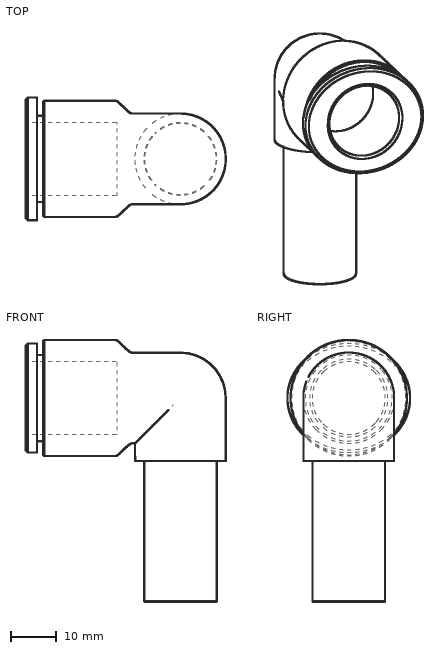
import cadquery as cq

overall_length = 44.0
overall_height = 57.6

elbow_radius = 20.0 / 2
elbow_drop = 13.9
stem_radius = 16.0 / 2
stem_chamfer = 0.2

body_radius = 25.6 / 2
body_start = 3.85
body_end = 20.05
taper_length = 3.0
body_chamfer = 0.3
shoulder_blend = 1.0

ring_width = 27.0
ring_height = 24.0
ring_thickness = 2.55
ring_chamfer = 0.6
neck_radius = 9.5
bore_radius = stem_radius
bore_chamfer = 0.6

mouth_x = elbow_radius - overall_length
body_start_x = mouth_x + body_start
body_end_x = mouth_x + body_end
taper_end_x = body_end_x + taper_length
stem_bottom_z = body_radius - overall_height


def rod_along_x(radius, start_x, end_x):
    return cq.Workplane("YZ", origin=(start_x, 0, 0)).circle(radius).extrude(end_x - start_x)


def make_elbow():
    """Vertical branch topped by a sphere that rounds the corner of the elbow."""
    vertical = cq.Workplane("XY").circle(elbow_radius).extrude(-elbow_drop)
    return vertical.union(cq.Workplane("XY").sphere(elbow_radius))


def make_stem():
    stem = cq.Workplane("XY").circle(stem_radius).extrude(stem_bottom_z)
    return stem.faces("<Z").chamfer(stem_chamfer)


def make_body():
    """Socket body tapering into the horizontal elbow branch, blended at both ends of the taper."""
    profile = (
        cq.Workplane("XY")
        .moveTo(body_start_x, 0)
        .lineTo(body_start_x, body_radius)
        .lineTo(body_end_x, body_radius)
        .lineTo(taper_end_x, elbow_radius)
        .lineTo(0, elbow_radius)
        .lineTo(0, 0)
        .close()
    )
    body = profile.revolve(360, (0, 0, 0), (1, 0, 0))
    at_taper = cq.selectors.BoxSelector(
        (body_end_x - shoulder_blend, -overall_height, -overall_height),
        (taper_end_x + shoulder_blend / 2, overall_height, overall_height),
    )
    body = body.edges("%CIRCLE").edges(at_taper).fillet(shoulder_blend)
    return body.faces("<X").chamfer(body_chamfer)


def make_release_ring():
    ring = (
        cq.Workplane("YZ", origin=(mouth_x, 0, 0))
        .ellipse(ring_width / 2, ring_height / 2)
        .extrude(ring_thickness)
        .faces("<X")
        .chamfer(ring_chamfer)
    )
    return ring.union(rod_along_x(neck_radius, mouth_x + ring_thickness / 2, body_start_x))


def make_bore():
    """Blind tube bore ending at the body shoulder, with a chamfered mouth."""
    bore = rod_along_x(bore_radius, mouth_x, body_end_x)
    lead_in = cq.Workplane(
        cq.Solid.makeCone(
            bore_radius + bore_chamfer, bore_radius, bore_chamfer,
            cq.Vector(mouth_x, 0, 0), cq.Vector(1, 0, 0),
        )
    )
    return bore.union(lead_in)


result = (
    make_elbow()
    .union(make_stem())
    .union(make_body())
    .union(make_release_ring())
    .cut(make_bore())
)